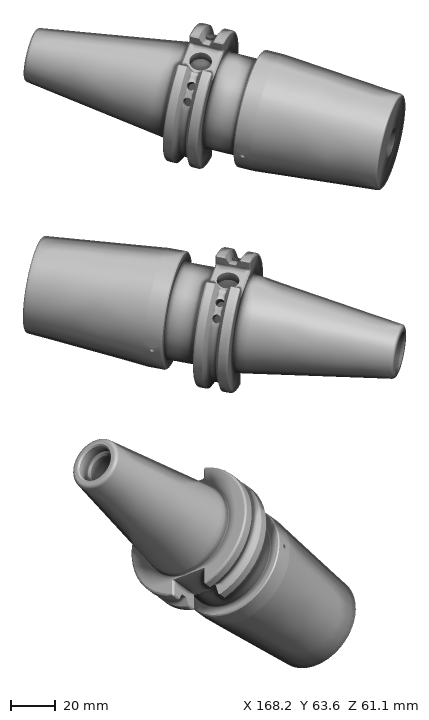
import cadquery as cq
import math

length = 168.2

gauge_x = 68.5
gauge_radius = 22.2
taper_ratio = 7 / 24
shank_end_radius = gauge_radius - gauge_x * taper_ratio / 2
shank_end_round = 1.7

flange_start = 71.2
flange_end = 87.3
flange_radius = 31.8
flange_edge_round = 1.0
groove_x = (flange_start + flange_end) / 2
groove_floor_radius = 28.1
groove_floor_width = 3.0
groove_half_angle = 30.0
groove_floor_round = 0.7
groove_depth = flange_radius - groove_floor_radius
groove_mouth_half = groove_floor_width / 2 + groove_depth * math.tan(math.radians(groove_half_angle))

neck_radius = gauge_radius
nose_start = 102.8
nose_radius = 27.0
nose_taper_start = 111.0
nose_end_radius = 22.0
nose_back_chamfer = 0.5
nose_end_round = 1.0
root_round = 0.5

bore_radius = 6.7
socket_radius = 8.5
socket_depth = 5.7
socket_entry_chamfer = 0.7
socket_floor_chamfer = 0.8

slot_half_width = 8.2
top_slot_floor = 24.9
bottom_slot_floor = 22.5
slot_edge_chamfer = 0.7
slot_corner_round = 0.8

pocket_diameter = 10.1
pocket_depth = 4.5
groove_hole_diameter = 3.9
groove_hole_depth = 5.0
groove_hole_angles = (30, 45)
cross_hole_diameter = 2.0
cross_hole_x = 107.2

tol = 0.03


def turned(points):
    """Solid of revolution about X from (x, radius) points."""
    return cq.Workplane("XZ").polyline(points).close().revolve(360, (0, 0, 0), (1, 0, 0))


def ring_edges(body, x, radius):
    """Circular edges of the body at one axial place and radius."""
    box = cq.selectors.BoxSelector(
        (x - tol, -radius - tol, -radius - tol), (x + tol, radius + tol, radius + tol)
    )
    rings = body.edges("%CIRCLE").edges(box)
    return rings.filter(lambda edge: abs(edge.radius() - radius) < tol)


def make_outside():
    floor_half = groove_floor_width / 2
    body = turned([
        (0, 0),
        (0, shank_end_radius),
        (gauge_x, gauge_radius),
        (flange_start, gauge_radius),
        (flange_start, flange_radius),
        (groove_x - groove_mouth_half, flange_radius),
        (groove_x - floor_half, groove_floor_radius),
        (groove_x + floor_half, groove_floor_radius),
        (groove_x + groove_mouth_half, flange_radius),
        (flange_end, flange_radius),
        (flange_end, neck_radius),
        (nose_start, neck_radius),
        (nose_start, nose_radius),
        (nose_taper_start, nose_radius),
        (length, nose_end_radius),
        (length, 0),
    ])
    rounds = [
        (0, shank_end_radius, shank_end_round),
        (flange_start, gauge_radius, root_round),
        (flange_start, flange_radius, flange_edge_round),
        (groove_x - floor_half, groove_floor_radius, groove_floor_round),
        (groove_x + floor_half, groove_floor_radius, groove_floor_round),
        (flange_end, flange_radius, flange_edge_round),
        (flange_end, neck_radius, root_round),
        (nose_start, neck_radius, root_round),
        (length, nose_end_radius, nose_end_round),
    ]
    for x, radius, size in rounds:
        body = ring_edges(body, x, radius).fillet(size)
    return ring_edges(body, nose_start, nose_radius).chamfer(nose_back_chamfer)


def make_bore():
    entry_radius = socket_radius + socket_entry_chamfer
    step_radius = bore_radius + socket_floor_chamfer
    return turned([
        (0, 0),
        (0, entry_radius),
        (socket_entry_chamfer, socket_radius),
        (socket_depth, socket_radius),
        (socket_depth, step_radius),
        (socket_depth + socket_floor_chamfer, bore_radius),
        (length, bore_radius),
        (length, 0),
    ])


def make_slot(floor):
    """Block that clears a drive slot on the +Z side, from the floor outwards."""
    return (
        cq.Workplane("XY", origin=(groove_x, 0, floor))
        .rect(flange_end - flange_start, 2 * slot_half_width)
        .extrude(flange_radius)
    )


def make_top_slot():
    return make_slot(top_slot_floor).edges("|X and <Z").fillet(slot_corner_round)


def make_bottom_slot():
    return make_slot(bottom_slot_floor).rotate((0, 0, 0), (1, 0, 0), 180)


def chamfer_slot_edges(body):
    """Bevel the slot walls along the flange faces and lands, and the top slot's floor at both ends."""
    land_start = groove_x - groove_mouth_half
    land_end = groove_x + groove_mouth_half

    def is_slot_edge(edge):
        middle = edge.positionAt(0.5)
        in_flange = flange_start - tol < middle.x < flange_end + tol
        on_land = middle.x < land_start or middle.x > land_end
        inside_slot = abs(middle.y) < slot_half_width + tol
        on_wall = abs(edge.startPoint().y - edge.endPoint().y) < tol
        top_wall = middle.z > top_slot_floor + slot_corner_round - tol
        bottom_wall = middle.z < -bottom_slot_floor - tol
        wall_edge = on_wall and on_land and (top_wall or bottom_wall)
        on_end_face = min(abs(middle.x - flange_start), abs(middle.x - flange_end)) < tol
        floor_edge = on_end_face and middle.z > top_slot_floor - tol
        return in_flange and inside_slot and (wall_edge or floor_edge)

    return body.edges().filter(is_slot_edge).chamfer(slot_edge_chamfer)


def radial_hole(x, floor, surface, diameter, angle=0):
    """Cylinder pointing away from the axis, tilted by an angle from +Z towards +Y."""
    drill = cq.Workplane("XY", origin=(x, 0, floor)).circle(diameter / 2).extrude(surface - floor)
    return drill.rotate((0, 0, 0), (1, 0, 0), -angle)


def make_pocket():
    return radial_hole(groove_x, top_slot_floor - pocket_depth, flange_radius, pocket_diameter)


def cut_groove_holes(body):
    """Blind radial holes in the groove floor, mirrored about the XZ plane."""
    hole_floor = groove_floor_radius - groove_hole_depth
    for angle in groove_hole_angles:
        for side in (1, -1):
            hole = radial_hole(groove_x, hole_floor, flange_radius, groove_hole_diameter, side * angle)
            body = body.cut(hole)
    return body


def make_cross_hole():
    """Small hole along Y, right through the nose."""
    return (
        cq.Workplane("XZ", origin=(cross_hole_x, 0, 0))
        .circle(cross_hole_diameter / 2)
        .extrude(nose_radius, both=True)
    )


slotted = make_outside().cut(make_top_slot()).cut(make_bottom_slot())
holder = chamfer_slot_edges(slotted).cut(make_bore()).cut(make_pocket())
result = cut_groove_holes(holder).cut(make_cross_hole())